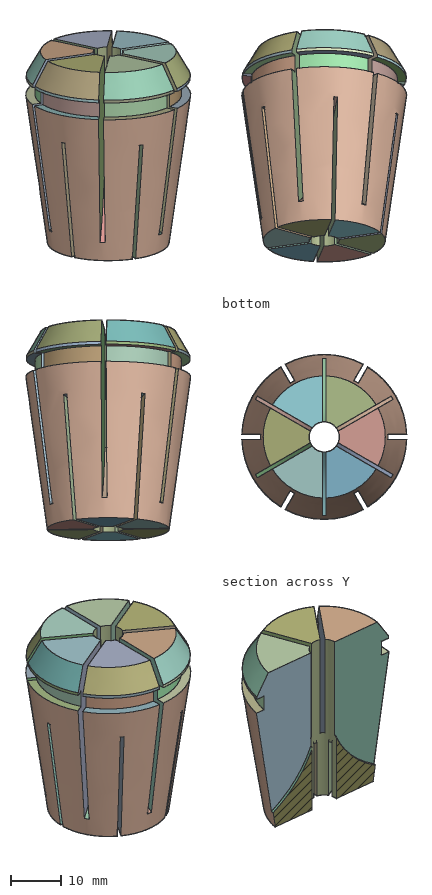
import cadquery as cq
import math

total_height = 40.0
max_radius = 16.5
bore_radius = 3.0

taper_height = 31.0
bottom_radius = 12.2
taper_slope = (max_radius - bottom_radius) / taper_height

groove_radius = 14.65
groove_top = 34.5
collar_radius = 16.4
collar_land = 0.6
collar_land_top = groove_top + collar_land
nose_half_angle = math.radians(30.0)
nose_radius = collar_radius - (total_height - collar_land_top) * math.tan(nose_half_angle)

slots_per_set = 6
slot_pitch = 360.0 / slots_per_set
overrun = 2.0

upper_slot_width = 1.0
upper_slot_end_height = 4.0
upper_slot_bore_height = 16.05
upper_saw_radius = 24.5

lower_slot_width = 0.75
lower_slot_end_height = 24.95
lower_slot_bore_height = 13.8
lower_saw_radius = 18.0


def taper_radius(height):
    """Outer radius of the seating taper at a given height."""
    return bottom_radius + height * taper_slope


def collet_body():
    """Turned body with its through bore."""
    profile = [
        (bore_radius, 0),
        (bottom_radius, 0),
        (max_radius, taper_height),
        (groove_radius, taper_height),
        (groove_radius, groove_top),
        (collar_radius, groove_top),
        (collar_radius, collar_land_top),
        (nose_radius, total_height),
        (bore_radius, total_height),
    ]
    return cq.Workplane("XZ").polyline(profile).close().revolve(360, (0, 0), (0, 1))


def arc_midpoint(start, end, radius, bulge):
    """Middle of an arc between two (radius, height) points; bulge +1 lies left of start-to-end."""
    dx = end[0] - start[0]
    dz = end[1] - start[1]
    chord = math.hypot(dx, dz)
    sagitta = radius - math.sqrt(radius**2 - (chord / 2) ** 2)
    mid_x = (start[0] + end[0]) / 2 - bulge * dz / chord * sagitta
    mid_z = (start[1] + end[1]) / 2 + bulge * dx / chord * sagitta
    return mid_x, mid_z


def slot_cutter(width, end_height, bore_height, saw_radius, open_height, bulge):
    """Radial slot along +X, from its arc-shaped end out through open_height."""
    bore_end = (bore_radius, bore_height)
    outer_end = (taper_radius(end_height), end_height)
    clear_radius = max_radius + overrun
    return (
        cq.Workplane("XZ")
        .moveTo(0, bore_height)
        .lineTo(*bore_end)
        .threePointArc(arc_midpoint(bore_end, outer_end, saw_radius, bulge), outer_end)
        .lineTo(clear_radius, end_height)
        .lineTo(clear_radius, open_height)
        .lineTo(0, open_height)
        .close()
        .extrude(width / 2, both=True)
    )


def cut_slot_set(body, cutter, first_angle):
    """Cut one ring of equally spaced slots."""
    for index in range(slots_per_set):
        angle = first_angle + index * slot_pitch
        body = body.cut(cutter.rotate((0, 0, 0), (0, 0, 1), angle))
    return body


upper_cutter = slot_cutter(
    upper_slot_width,
    upper_slot_end_height,
    upper_slot_bore_height,
    upper_saw_radius,
    total_height + overrun,
    bulge=-1,
)
lower_cutter = slot_cutter(
    lower_slot_width,
    lower_slot_end_height,
    lower_slot_bore_height,
    lower_saw_radius,
    -overrun,
    bulge=1,
)

result = collet_body()
result = cut_slot_set(result, upper_cutter, 0)
result = cut_slot_set(result, lower_cutter, slot_pitch / 2)